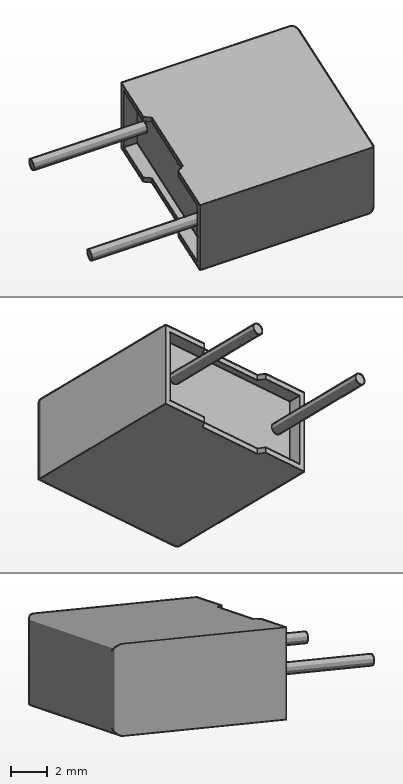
import cadquery as cq

total_length = 16.6
housing_width = 10.2
housing_height = 5.11
housing_length = 10.6
wall = 0.35
end_fillet = 0.5

notch_mouth_width = 4.5
notch_floor_width = 4.0
notch_depth = 0.4

fill_recess = 0.8
lead_diameter = 0.66
lead_pitch = 7.5

rim_y = 0.0
fill_face_y = rim_y + fill_recess
cavity_end_y = housing_length - wall
lead_tip_y = housing_length - total_length


def block(width, height, start_y, end_y):
    """Box centred on X and Z, spanning start_y to end_y."""
    return (
        cq.Workplane("XY")
        .box(width, end_y - start_y, height, centered=(True, False, True))
        .translate((0, start_y, 0))
    )


def make_cavity_block(start_y):
    """Space inside the walls, from start_y to the closed end."""
    return block(housing_width - 2 * wall, housing_height - 2 * wall, start_y, cavity_end_y)


def make_notch():
    """Trapezoidal cutter through the full housing height."""
    return (
        cq.Workplane("XY")
        .moveTo(-notch_mouth_width / 2, rim_y)
        .lineTo(notch_mouth_width / 2, rim_y)
        .lineTo(notch_floor_width / 2, rim_y + notch_depth)
        .lineTo(-notch_floor_width / 2, rim_y + notch_depth)
        .close()
        .extrude(housing_height / 2, both=True)
    )


def make_housing():
    """Rounded closed end, hollow inside, notched rim."""
    shell = block(housing_width, housing_height, rim_y, housing_length)
    shell = shell.faces(">Y").edges().fillet(end_fillet)
    return shell.cut(make_cavity_block(rim_y)).cut(make_notch())


def make_filling():
    """Solid filling of the cavity, recessed below the rim."""
    return make_cavity_block(fill_face_y)


def make_lead(x):
    """Straight round lead running from the filling face to its tip."""
    return (
        cq.Workplane("XZ", origin=(x, fill_face_y, 0))
        .circle(lead_diameter / 2)
        .extrude(fill_face_y - lead_tip_y)
    )


housing = make_housing()
filling = make_filling()
leads = [make_lead(side * lead_pitch / 2) for side in (-1, 1)]

result = cq.Compound.makeCompound([housing.val(), filling.val(), *[lead.val() for lead in leads]])